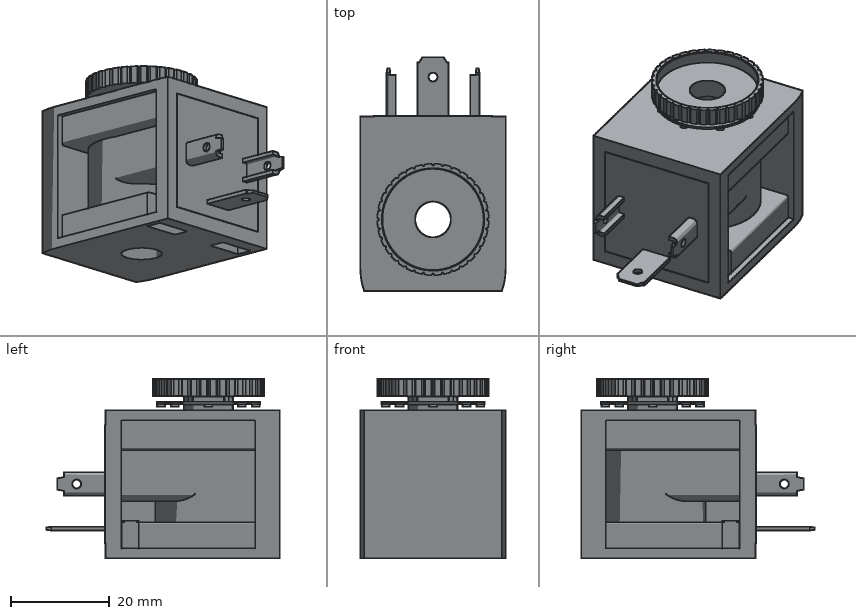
import cadquery as cq
import math


HOUSING_WIDTH = 29.5
HOUSING_HEIGHT = 30.0
HOUSING_FRONT = -14.5
HOUSING_BACK = 20.9
FRONT_CORNER_LENGTH = 4.57
FRONT_CORNER_INSET = 0.77
COIL_BORE_DIAMETER = 8.2

WINDOW_FRONT = -9.5
WINDOW_BACK = 17.68
WINDOW_MARGIN = 2.0
WINDOW_CORNER_RADIUS = 0.4
FRAME_DEPTH = 1.27
CAVITY_BOTTOM = 7.3
CAVITY_TOP = 21.92
UPPER_YOKE_EDGE_RADIUS = 0.65
LOWER_YOKE_EDGE_RADIUS = 0.5

WINDING_DIAMETER = 21.7
BLOCK_HALF_WIDTH = 10.55
BLOCK_BOTTOM = 11.55
BLOCK_EDGE_RADIUS = 1.9
CORE_WEB_HALF_WIDTH = 1.0

SLOT_FRONT = 14.1
SLOT_BACK = 17.55
SLOT_TOP = 7.6
SLOT_CORNER_RADIUS = 0.45
SLOT_WEB_HALF_WIDTH = 5.3

CONNECTOR_PAD_SIZE = 24.0
CONNECTOR_PAD_THICKNESS = 0.15
BLADE_THICKNESS = 0.8
BLADE_TIP_THICKNESS = 0.5
TERMINAL_HOLE_DIAMETER = 1.75

GROUND_BLADE_WIDTH = 6.3
GROUND_BLADE_Z = 6.0
GROUND_BLADE_TIP = 32.9
GROUND_TAPER_LENGTH = 1.07
GROUND_TAPER_WIDTH = 5.7
GROUND_TIP_WIDTH = 4.27
GROUND_HOLE_Y = 28.85

CHANNEL_OUTER_X = 9.43
CHANNEL_DEPTH = 1.93
CHANNEL_HEIGHT = 4.8
CHANNEL_BEND_RADIUS = 0.98
CHANNEL_Z = 15.05
CHANNEL_END = 29.3
POWER_BLADE_WIDTH = 2.8
POWER_BLADE_TIP = 30.67
POWER_TAPER_LENGTH = 0.95
POWER_TAPER_WIDTH = 2.6
POWER_TIP_WIDTH = 2.35
POWER_HOLE_Y = 26.7

NUT_TOP = 36.35
KNOB_BOTTOM = 32.85
KNOB_DIAMETER = 22.6
KNURL_COUNT = 36
KNURL_WIDTH = 0.76
KNURL_DEPTH = 0.4
NUT_RECESS_DIAMETER = 20.5
NUT_RECESS_DEPTH = 2.5
NUT_RECESS_CHAMFER = 0.15
NUT_BORE_DIAMETER = 7.19
NECK_DIAMETER = 10.0
NECK_FLARE = 0.15
RIB_COUNT = 4
RIB_WIDTH = 1.13
RIB_OUTER_RADIUS = 5.23
FLANGE_DIAMETER = 21.0
FLANGE_TOP = 31.7
FLANGE_THICKNESS = 0.45
NUB_COUNT = 8
NUB_DIAMETER = 1.65
NUB_HEIGHT = 0.6
NUB_CIRCLE_RADIUS = 9.6

half_width = HOUSING_WIDTH / 2
frame_inner_x = half_width - FRAME_DEPTH
flange_bottom = FLANGE_TOP - FLANGE_THICKNESS


def box(x_min, x_max, y_min, y_max, z_min, z_max):
    """Axis-aligned box between the given limits."""
    size = (x_max - x_min, y_max - y_min, z_max - z_min)
    return cq.Workplane("XY").box(*size, centered=False).translate((x_min, y_min, z_min))


def cylinder(diameter, z_min, z_max):
    """Cylinder on the Z axis."""
    return cq.Workplane("XY").workplane(offset=z_min).circle(diameter / 2).extrude(z_max - z_min)


def housing_block():
    """Outer block, with front corners that curve in tangent to the sides."""
    corner_radius = (FRONT_CORNER_LENGTH**2 + FRONT_CORNER_INSET**2) / (2 * FRONT_CORNER_INSET)
    corner_start = HOUSING_FRONT + FRONT_CORNER_LENGTH
    middle_angle = math.asin(FRONT_CORNER_LENGTH / corner_radius) / 2
    middle_x = half_width - corner_radius * (1 - math.cos(middle_angle))
    middle_y = corner_start - corner_radius * math.sin(middle_angle)
    front_x = half_width - FRONT_CORNER_INSET
    outline = (
        cq.Workplane("XY")
        .moveTo(-half_width, HOUSING_BACK)
        .lineTo(half_width, HOUSING_BACK)
        .lineTo(half_width, corner_start)
        .threePointArc((middle_x, middle_y), (front_x, HOUSING_FRONT))
        .lineTo(-front_x, HOUSING_FRONT)
        .threePointArc((-middle_x, middle_y), (-half_width, corner_start))
        .close()
    )
    return outline.extrude(HOUSING_HEIGHT)


def side_windows():
    """Shallow window recess in each side, down to the faces of the yokes."""
    window_top = HOUSING_HEIGHT - WINDOW_MARGIN
    left = box(-half_width, -frame_inner_x, WINDOW_FRONT, WINDOW_BACK, WINDOW_MARGIN, window_top)
    left = left.edges("|X and >Z").fillet(WINDOW_CORNER_RADIUS)
    return left.union(left.mirror("YZ"))


def cavity():
    """Space between the yokes, around the winding, its terminal block and the core web."""
    window_top = HOUSING_HEIGHT - WINDOW_MARGIN
    depth_limits = (-frame_inner_x, frame_inner_x, WINDOW_FRONT, WINDOW_BACK)
    space = box(*depth_limits, WINDOW_MARGIN, window_top)
    lower_yoke = box(*depth_limits, WINDOW_MARGIN, CAVITY_BOTTOM)
    upper_yoke = box(*depth_limits, CAVITY_TOP, window_top)
    space = space.cut(lower_yoke.edges("|Y and >Z").fillet(LOWER_YOKE_EDGE_RADIUS))
    space = space.cut(upper_yoke.edges("|Y and <Z").fillet(UPPER_YOKE_EDGE_RADIUS))

    winding = cylinder(WINDING_DIAMETER, CAVITY_BOTTOM, CAVITY_TOP)
    block = box(-BLOCK_HALF_WIDTH, BLOCK_HALF_WIDTH, 0, WINDOW_BACK, BLOCK_BOTTOM, CAVITY_TOP)
    block = block.edges("|Y and <Z").fillet(BLOCK_EDGE_RADIUS)
    web = box(-CORE_WEB_HALF_WIDTH, CORE_WEB_HALF_WIDTH, 0, WINDOW_BACK, CAVITY_BOTTOM, BLOCK_BOTTOM)
    return space.cut(winding).cut(block).cut(web)


def floor_slots():
    """Slot each side of the web behind the lower yoke, open at the bottom."""
    left = box(-frame_inner_x, -SLOT_WEB_HALF_WIDTH, SLOT_FRONT, SLOT_BACK, 0, SLOT_TOP)
    left = left.edges("|Z and >X").fillet(SLOT_CORNER_RADIUS)
    return left.union(left.mirror("YZ"))


def slot_web():
    """Web between the floor slots, rising to the slot top, and the thin ledge behind the slots."""
    web = box(-SLOT_WEB_HALF_WIDTH, SLOT_WEB_HALF_WIDTH, SLOT_FRONT, WINDOW_BACK, CAVITY_BOTTOM, SLOT_TOP)
    ledge = box(-frame_inner_x, frame_inner_x, SLOT_BACK, WINDOW_BACK, WINDOW_MARGIN, SLOT_TOP)
    return web.union(ledge)


def blade(width, taper_width, tip_width, tip_y, taper_length, hole_y):
    """Flat blade in the XY plane, running along +Y to a tip tapered in width and in thickness."""
    taper_y = tip_y - taper_length
    outline = (
        cq.Workplane("XY", origin=(0, 0, -BLADE_THICKNESS / 2))
        .moveTo(-width / 2, HOUSING_BACK)
        .lineTo(-width / 2, taper_y)
        .lineTo(-taper_width / 2, taper_y)
        .lineTo(-tip_width / 2, tip_y)
        .lineTo(tip_width / 2, tip_y)
        .lineTo(taper_width / 2, taper_y)
        .lineTo(width / 2, taper_y)
        .lineTo(width / 2, HOUSING_BACK)
        .close()
        .extrude(BLADE_THICKNESS)
    )
    side_profile = (
        cq.Workplane("YZ", origin=(-width / 2, 0, 0))
        .moveTo(HOUSING_BACK, -BLADE_THICKNESS / 2)
        .lineTo(taper_y, -BLADE_THICKNESS / 2)
        .lineTo(tip_y, -BLADE_TIP_THICKNESS / 2)
        .lineTo(tip_y, BLADE_TIP_THICKNESS / 2)
        .lineTo(taper_y, BLADE_THICKNESS / 2)
        .lineTo(HOUSING_BACK, BLADE_THICKNESS / 2)
        .close()
        .extrude(width)
    )
    hole = (
        cq.Workplane("XY", origin=(0, hole_y, -BLADE_THICKNESS / 2))
        .circle(TERMINAL_HOLE_DIAMETER / 2)
        .extrude(BLADE_THICKNESS)
    )
    return outline.intersect(side_profile).cut(hole)


def ground_terminal():
    """Wide horizontal blade in the middle of the connector face."""
    flat = blade(
        GROUND_BLADE_WIDTH, GROUND_TAPER_WIDTH, GROUND_TIP_WIDTH,
        GROUND_BLADE_TIP, GROUND_TAPER_LENGTH, GROUND_HOLE_Y,
    )
    return flat.translate((0, 0, GROUND_BLADE_Z))


def left_power_terminal():
    """Upright blade on -X with a C-shaped channel bent inward along its length."""
    blade_x = -CHANNEL_OUTER_X + BLADE_THICKNESS / 2
    flat = blade(
        POWER_BLADE_WIDTH, POWER_TAPER_WIDTH, POWER_TIP_WIDTH,
        POWER_BLADE_TIP, POWER_TAPER_LENGTH, POWER_HOLE_Y,
    )
    upright = flat.rotate((0, 0, 0), (0, 1, 0), 90).translate((blade_x, 0, CHANNEL_Z))

    x_min = -CHANNEL_OUTER_X
    x_max = x_min + CHANNEL_DEPTH
    z_min = CHANNEL_Z - CHANNEL_HEIGHT / 2
    z_max = CHANNEL_Z + CHANNEL_HEIGHT / 2
    channel = box(x_min, x_max, HOUSING_BACK, CHANNEL_END, z_min, z_max)
    channel = channel.edges("|Y and <X").fillet(CHANNEL_BEND_RADIUS)
    inside = box(
        x_min + BLADE_THICKNESS, x_max, HOUSING_BACK, CHANNEL_END,
        z_min + BLADE_THICKNESS, z_max - BLADE_THICKNESS,
    )
    inside = inside.edges("|Y and <X").fillet(CHANNEL_BEND_RADIUS - BLADE_THICKNESS)
    hole = (
        cq.Workplane("YZ", origin=(x_min, POWER_HOLE_Y, CHANNEL_Z))
        .circle(TERMINAL_HOLE_DIAMETER / 2)
        .extrude(CHANNEL_DEPTH)
    )
    return channel.cut(inside).union(upright).cut(hole)


def coil_body():
    """Housing with its windows and cavity, winding, connector pad and terminals."""
    body = housing_block().cut(side_windows()).cut(cavity()).cut(floor_slots()).union(slot_web())
    pad_half = CONNECTOR_PAD_SIZE / 2
    pad_middle = HOUSING_HEIGHT / 2
    pad = box(
        -pad_half, pad_half, HOUSING_BACK, HOUSING_BACK + CONNECTOR_PAD_THICKNESS,
        pad_middle - pad_half, pad_middle + pad_half,
    )
    power = left_power_terminal()
    body = body.union(pad).union(ground_terminal()).union(power).union(power.mirror("YZ"))
    return body.cut(cylinder(COIL_BORE_DIAMETER, 0, HOUSING_HEIGHT))


def knurled_knob():
    """Disc with V grooves around its rim and a recessed top."""
    knob = cylinder(KNOB_DIAMETER, KNOB_BOTTOM, NUT_TOP)
    knob = knob.cut(cylinder(NUT_RECESS_DIAMETER, NUT_TOP - NUT_RECESS_DEPTH, NUT_TOP))
    knob = knob.faces(">Z").edges(cq.selectors.RadiusNthSelector(0)).chamfer(NUT_RECESS_CHAMFER)

    outer_radius = KNOB_DIAMETER / 2
    groove_root = outer_radius - KNURL_DEPTH
    mouth_radius = outer_radius + KNURL_DEPTH
    groove = (
        cq.Workplane("XY", origin=(0, 0, KNOB_BOTTOM))
        .polyline([(groove_root, 0), (mouth_radius, KNURL_WIDTH), (mouth_radius, -KNURL_WIDTH)])
        .close()
        .extrude(NUT_TOP - KNOB_BOTTOM)
    )
    for index in range(KNURL_COUNT):
        knob = knob.cut(groove.rotate((0, 0, 0), (0, 0, 1), index * 360 / KNURL_COUNT))
    return knob


def neck_flare(top_z):
    """Short cone that widens the neck up to the given height."""
    return (
        cq.Workplane("XY", origin=(0, 0, top_z - NECK_FLARE))
        .circle(NECK_DIAMETER / 2)
        .workplane(offset=NECK_FLARE)
        .circle(NECK_DIAMETER / 2 + NECK_FLARE)
        .loft()
    )


def nut_body():
    """Knob, neck with ribs, and flange with nubs under it, in one piece seated on the housing."""
    nut = knurled_knob().union(cylinder(NECK_DIAMETER, HOUSING_HEIGHT, KNOB_BOTTOM))
    nut = nut.union(cylinder(FLANGE_DIAMETER, flange_bottom, FLANGE_TOP))
    for top_z in (KNOB_BOTTOM, flange_bottom):
        nut = nut.union(neck_flare(top_z))

    rib = box(0, RIB_OUTER_RADIUS, -RIB_WIDTH / 2, RIB_WIDTH / 2, FLANGE_TOP, KNOB_BOTTOM)
    for index in range(RIB_COUNT):
        angle = (index + 0.5) * 360 / RIB_COUNT
        nut = nut.union(rib.rotate((0, 0, 0), (0, 0, 1), angle))

    nub = cylinder(NUB_DIAMETER, flange_bottom - NUB_HEIGHT, flange_bottom)
    nub = nub.translate((NUB_CIRCLE_RADIUS, 0, 0))
    for index in range(NUB_COUNT):
        nut = nut.union(nub.rotate((0, 0, 0), (0, 0, 1), index * 360 / NUB_COUNT))
    return nut.cut(cylinder(NUT_BORE_DIAMETER, HOUSING_HEIGHT, NUT_TOP))


coil = coil_body()
retaining_nut = nut_body()

result = cq.Compound.makeCompound([coil.val(), retaining_nut.val()])